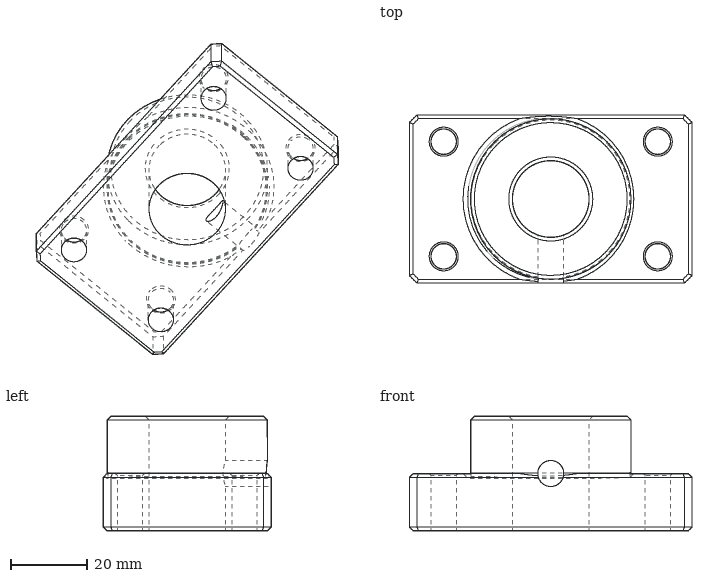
import cadquery as cq
import math

plate_length = 74.0
plate_width = 44.0
plate_height = 15.0
corner_chamfer = 2.0
edge_chamfer = 1.0

total_height = 30.0
boss_radius = 21.0
bore_radius = 10.0

hole_pitch_x = 56.0
hole_pitch_y = 30.0
hole_radius = 3.3
hole_chamfer = 0.5

oil_hole_radius = 3.4

groove_offset_x = -0.6
groove_rim_radius = 22.33
groove_wall_depth = 1.2
groove_root_radius = 0.5
neck_radius = 20.7
neck_rise = 0.15


def make_plate():
    """Rectangular plate with bevelled corners and bevelled top and bottom rims."""
    plate = cq.Workplane("XY").box(plate_length, plate_width, plate_height, centered=(True, True, False))
    plate = plate.edges("|Z").chamfer(corner_chamfer)
    return plate.faces("<Z or >Z").edges().chamfer(edge_chamfer)


def make_boss():
    """Round boss standing from the underside to the full height, bevelled at the top."""
    boss = cq.Workplane("XY").circle(boss_radius).extrude(total_height)
    return boss.faces(">Z").edges().chamfer(edge_chamfer)


def make_groove():
    """Ring with a 45 degree outer wall and a rounded root, leaving a neck just thinner than the boss."""
    ceiling = plate_height + neck_rise
    diagonal = groove_root_radius * math.sqrt(0.5)
    wall_foot_r = groove_rim_radius - groove_wall_depth
    wall_foot_z = plate_height - groove_wall_depth
    root_r = wall_foot_r - diagonal
    root_z = wall_foot_z + diagonal
    inner_r = root_r - groove_root_radius
    mid_angle = math.radians(247.5)
    root_mid = (
        root_r + groove_root_radius * math.cos(mid_angle),
        root_z + groove_root_radius * math.sin(mid_angle),
    )
    ring = (
        cq.Workplane("XZ")
        .moveTo(groove_rim_radius + neck_rise, ceiling)
        .lineTo(wall_foot_r, wall_foot_z)
        .threePointArc(root_mid, (inner_r, root_z))
        .lineTo(inner_r, ceiling)
        .close()
        .revolve(360, (0, 0, 0), (0, 1, 0))
        .translate((groove_offset_x, 0, 0))
    )
    neck = cq.Workplane("XY").circle(neck_radius).extrude(total_height)
    return ring.cut(neck)


def make_hole(radius, top, chamfer):
    """Vertical through hole with a countersunk mouth at height top."""
    hole = cq.Workplane("XY").circle(radius).extrude(top)
    mouth = (
        cq.Workplane("XY", origin=(0, 0, top - chamfer))
        .circle(radius)
        .workplane(offset=chamfer)
        .circle(radius + chamfer)
        .loft(ruled=True)
    )
    return hole.union(mouth)


def make_oil_hole():
    """Horizontal hole from the front face to the bore axis."""
    return (
        cq.Workplane("XZ", origin=(0, 0, plate_height))
        .circle(oil_hole_radius)
        .extrude(plate_width / 2)
    )


result = make_plate().union(make_boss())
result = result.cut(make_groove())
result = result.cut(make_hole(bore_radius, total_height, edge_chamfer))
for side_x in (-1, 1):
    for side_y in (-1, 1):
        screw_hole = make_hole(hole_radius, plate_height, hole_chamfer)
        result = result.cut(screw_hole.translate((side_x * hole_pitch_x / 2, side_y * hole_pitch_y / 2, 0)))
result = result.cut(make_oil_hole())